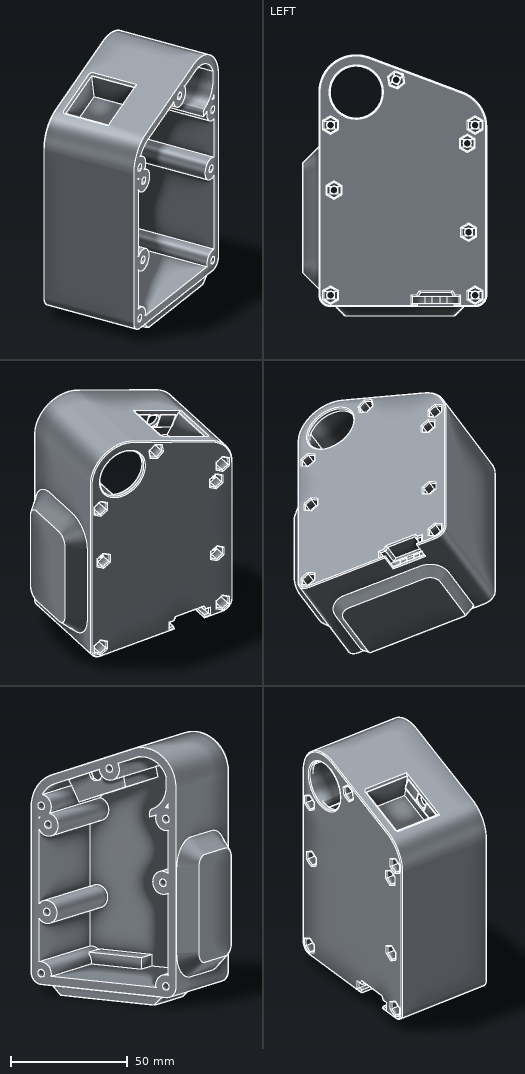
import cadquery as cq
import math

width = 45.0
depth = 72.0
top_radius = 16.0
bottom_radius = 5.0
bore_y = depth - top_radius
bore_z = 91.9
slope_angle = 20.6
wall = 4.0
plate_thickness = 2.0
edge_chamfer = 0.5

bore_diameter = 22.3
guard_thickness = 3.0
guard_end_y = bore_y + 2.9
guard_end_radius = 2.0

swelling_length = 47.0
swelling_tip_radius = 5.0
back_swelling_height = 6.9
back_swelling_width = 27.7
back_swelling_x = 23.6
back_swelling_z = 38.1
bottom_swelling_height = 4.0
bottom_swelling_width = 31.1
bottom_swelling_x = 31.6
bottom_swelling_y = 37.3
bottom_swelling_end_x = 44.0

deep_nut = 9.0
shallow_nut = 4.7
screw_places = [
    (5.0, 4.9, deep_nut, 0),
    (67.0, 4.9, deep_nut, 0),
    (5.0, 77.8, deep_nut, 0),
    (67.0, 77.8, deep_nut, 0),
    (8.4, 70.0, shallow_nut, 0),
    (7.8, 31.9, shallow_nut, 0),
    (65.5, 50.0, shallow_nut, 0),
    (38.9, 97.2, deep_nut, 90 + slope_angle),
]
screw_diameter = 3.2
nut_across_flats = 5.8
nut_chamfer = 0.5
post_radius = 5.0
bridge_step = 0.3

pocket_x_start = 4.0
pocket_x_end = 26.9
pocket_low = -1.3
pocket_high = 24.4
pocket_depth = 12.0
pocket_lip = 1.0
pocket_corner_radius = 1.5
pocket_draft = 10
pocket_wall = 2.6
port_diameter = 6.0
port_depth = 5.3

socket_y = 21.8
socket_depth = 8.0
socket_slot_width = 19.9
socket_slot_bottom = 1.5
socket_slot_top = 4.3
socket_mouth_width = 15.7
socket_crown_base_width = 15.2
socket_crown_top_width = 13.2
socket_crown_top = 6.0
socket_chamfer = 0.7
socket_step_widths = [9.4, 3.5]
socket_casing = 3.0

slope = math.radians(slope_angle)
slope_tangent_y = top_radius * (1 - math.sin(slope))
slope_top_y = bore_y - top_radius * math.sin(slope)
slope_top_z = bore_z + top_radius * math.cos(slope)


def slope_z(y):
    """Height of the sloping top plane at a given Y."""
    return slope_top_z + (y - slope_top_y) * math.tan(slope)


slope_plane = cq.Plane(
    origin=(0, slope_tangent_y, slope_z(slope_tangent_y)),
    xDir=(1, 0, 0),
    normal=(0, -math.sin(slope), math.cos(slope)),
)
slope_section = cq.Plane(
    origin=slope_plane.origin.toTuple(),
    xDir=(0, math.cos(slope), math.sin(slope)),
    normal=(1, 0, 0),
)


def prism(points, x_start, x_end):
    """Extrude a YZ outline along X."""
    return cq.Workplane("YZ", origin=(x_start, 0, 0)).polyline(points).close().extrude(x_end - x_start)


def cylinder(y, z, radius, x_start, x_end):
    return cq.Workplane("YZ", origin=(x_start, y, z)).circle(radius).extrude(x_end - x_start)


def block(x_range, y_range, z_range):
    corner = (x_range[0], y_range[0], z_range[0])
    sizes = [high - low for low, high in (x_range, y_range, z_range)]
    return cq.Workplane("XY", origin=corner).box(*sizes, centered=False)


def housing_form(inset, x_start):
    """Housing outline moved inward by inset, from x_start to the open end."""
    drop = inset / math.cos(slope)
    near, far = inset, depth - inset
    points = [(near, inset), (far, inset), (far, slope_z(far) - drop), (near, slope_z(near) - drop)]
    form = prism(points, x_start, width)
    form = form.edges("|X and <Z").fillet(bottom_radius - inset)
    upper_region = cq.selectors.BoxSelector((0, 0, depth / 2), (2 * width, 2 * depth, 2 * bore_z))
    return form.edges("|X").edges(upper_region).fillet(top_radius - inset)


def swelling(plane, size_x, size_other, height):
    """Rounded block narrowing at 45 degrees from its root to its tip size."""
    root = cq.Sketch().rect(size_x + 2 * height, size_other + 2 * height)
    root = root.vertices().fillet(swelling_tip_radius + height)
    return cq.Workplane(plane).placeSketch(root).extrude(height, taper=45)


def swellings():
    back_plane = cq.Plane((back_swelling_x, depth, back_swelling_z), (1, 0, 0), (0, 1, 0))
    back = swelling(back_plane, back_swelling_width, swelling_length, back_swelling_height)
    bottom_plane = cq.Plane((bottom_swelling_x, bottom_swelling_y, 0), (1, 0, 0), (0, 0, -1))
    bottom = swelling(bottom_plane, bottom_swelling_width, swelling_length, bottom_swelling_height)
    kept = block((0, bottom_swelling_end_x), (0, depth), (-bottom_swelling_height, 0))
    return back.union(bottom.intersect(kept))


def bore_guard():
    """Curved shelf below the bore, with a straight web rising behind it."""
    inner_radius = bore_diameter / 2
    below = (bore_z - inner_radius - guard_thickness, bore_z)
    shelf = cylinder(bore_y, bore_z, inner_radius + guard_thickness, 0, width)
    shelf = shelf.intersect(block((0, width), (guard_end_y, depth), below))
    shelf = shelf.cut(cylinder(bore_y, bore_z, inner_radius, 0, width))
    shelf = shelf.faces("<Y").edges(">Z").fillet(guard_end_radius)
    web = block((0, width), (bore_y + inner_radius, depth), (bore_z, bore_z + top_radius))
    return shelf.union(web)


def bore_cut():
    rim = cq.Workplane("YZ", origin=(0, bore_y, bore_z)).circle(bore_diameter / 2 + edge_chamfer)
    rim = rim.extrude(edge_chamfer, taper=45)
    return cylinder(bore_y, bore_z, bore_diameter / 2, 0, plate_thickness).union(rim)


def nut_cut(y, z, nut_depth, turn):
    """Chamfered hexagon, then a flat-sided slot and a square leading to the round screw hole."""
    to_diameter = 1 / math.cos(math.pi / 6)
    base = cq.Workplane("YZ").transformed(rotate=(0, 0, 90))
    cut = base.polygon(6, nut_across_flats * to_diameter).extrude(nut_depth)
    mouth_flats = nut_across_flats + 2 * nut_chamfer
    cut = cut.union(base.polygon(6, mouth_flats * to_diameter).extrude(nut_chamfer, taper=45))
    half = screw_diameter / 2
    half_flats = nut_across_flats / 2
    slot_end = nut_depth + bridge_step
    cut = cut.union(block((nut_depth, slot_end), (-half_flats, half_flats), (-half, half)))
    cut = cut.union(block((slot_end, slot_end + bridge_step), (-half, half), (-half, half)))
    cut = cut.union(cylinder(0, 0, half, 0, width))
    return cut.rotate((0, 0, 0), (1, 0, 0), turn).translate((0, y, z))


def pocket_section(margin):
    """Pocket cross-section below its lip, grown by margin on every side."""
    narrowing = pocket_depth * math.tan(math.radians(pocket_draft))
    low = pocket_low + pocket_lip - margin
    high = pocket_high - pocket_lip + margin
    floor = -pocket_depth - margin
    points = [(low, 0), (high, 0), (high - narrowing, floor), (low + narrowing, floor)]
    return cq.Workplane(slope_section).polyline(points).close()


def pocket_casing():
    return pocket_section(pocket_wall).extrude(pocket_x_end + pocket_wall)


def pocket_cut():
    cut_start = pocket_x_start + pocket_lip
    well = pocket_section(0).extrude(pocket_x_end - cut_start).translate((cut_start, 0, 0))

    lip_length = pocket_x_end + 2 * pocket_lip - pocket_x_start
    lip_width = pocket_high - pocket_low
    pocket_middle = (pocket_low + pocket_high) / 2
    lip_outline = cq.Sketch().rect(lip_length, lip_width).vertices().fillet(pocket_corner_radius)
    lip = cq.Workplane(slope_plane).center(pocket_x_start + lip_length / 2, pocket_middle)
    lip = lip.placeSketch(lip_outline).extrude(-pocket_lip, taper=45)
    lip = lip.intersect(block((0, pocket_x_end), (0, depth), (0, 2 * bore_z)))

    section = cq.Workplane(slope_section)
    groove_length = pocket_high - pocket_low - 2 * pocket_lip - 2 * port_depth * math.tan(
        math.radians(pocket_draft))
    port_center = section.center(pocket_middle, -port_depth)
    groove = port_center.rect(groove_length, port_diameter).extrude(bridge_step)
    square = port_center.rect(port_diameter, port_diameter).extrude(2 * bridge_step)
    port = port_center.circle(port_diameter / 2).extrude(pocket_wall)
    port = port.union(square).union(groove).translate((pocket_x_end, 0, 0))
    return well.union(lip).union(port)


def socket_outline(grow):
    """Slot with a narrower mouth below and a tapered crown above, grown by grow."""
    slot = socket_slot_width / 2 + grow
    mouth = socket_mouth_width / 2
    base = socket_crown_base_width / 2 + grow
    crown = socket_crown_top_width / 2 + grow
    half = [
        (mouth, -bottom_swelling_height),
        (mouth, socket_slot_bottom - grow),
        (slot, socket_slot_bottom - grow),
        (slot, socket_slot_top + grow),
        (base, socket_slot_top + grow),
        (crown, socket_crown_top + grow),
    ]
    right = [(socket_y + y, z) for y, z in half]
    left = [(socket_y - y, z) for y, z in reversed(half)]
    return right + left


def socket_casing_block():
    reach = socket_slot_width / 2 + socket_casing
    return block(
        (0, socket_depth + socket_casing),
        (socket_y - reach, socket_y + reach),
        (0, socket_crown_top + socket_casing),
    )


def socket_cut():
    cut = prism(socket_outline(0), 0, socket_depth)
    mouth = cq.Workplane("YZ").polyline(socket_outline(socket_chamfer)).close()
    mouth = mouth.workplane(offset=socket_chamfer).polyline(socket_outline(0)).close().loft(ruled=True)
    cut = cut.union(mouth)
    step_start = socket_depth
    for step_width in [socket_slot_width] + socket_step_widths:
        step_y = (socket_y - step_width / 2, socket_y + step_width / 2)
        step_x = (step_start, step_start + bridge_step)
        cut = cut.union(block(step_x, step_y, (socket_slot_bottom, socket_slot_top)))
        step_start += bridge_step
    return cut


outer = housing_form(0, 0).faces("<X").chamfer(edge_chamfer)

inner_parts = bore_guard().union(pocket_casing()).union(socket_casing_block())
for screw_y, screw_z, _, _ in screw_places:
    inner_parts = inner_parts.union(cylinder(screw_y, screw_z, post_radius, 0, width))

result = outer.cut(housing_form(wall, plate_thickness).cut(inner_parts))
result = result.union(swellings()).cut(bore_cut()).cut(pocket_cut()).cut(socket_cut())
for screw_y, screw_z, nut_depth, nut_turn in screw_places:
    result = result.cut(nut_cut(screw_y, screw_z, nut_depth, nut_turn))